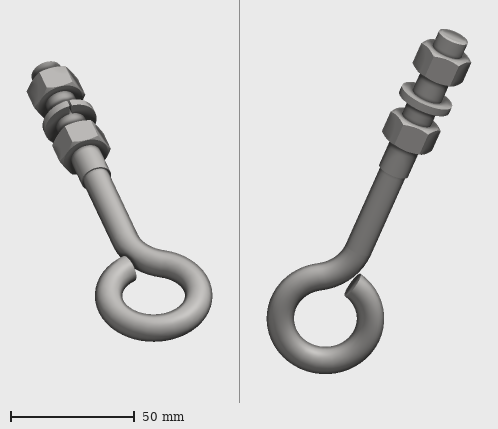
import cadquery as cq
import math

wire_diameter = 11.11
thread_diameter = 12.7
tip_diameter = 10.59
tip_chamfer_length = 0.5
thread_length = 63.5

eye_inner_diameter = 25.4
eye_radius = (eye_inner_diameter + wire_diameter) / 2
bolt_length = 157.16
bend_angle = 60.0
bend_radius = 19.84
eye_end_angle = 194.5

nut_width = 19.05
nut_thickness = 11.11
nut_starts = (7.14, 39.29)
nut_face_diameter = 18.8
nut_chamfer_angle = 30.0

washer_diameter = 22.05
washer_thickness = 3.18
washer_start = 28.2
washer_gap = 1.0

bend = math.radians(bend_angle)
eye_x = bolt_length - wire_diameter / 2 - eye_radius
join_x = eye_x - eye_radius * math.sin(bend)
bend_start = join_x - bend_radius * math.sin(bend)
join_y = bend_radius * (1 - math.cos(bend))
eye_y = join_y - eye_radius * math.cos(bend)


def cylinder_along_x(start, length, diameter):
    return cq.Workplane("YZ", origin=(start, 0, 0)).circle(diameter / 2).extrude(length)


def point_on_circle(center_x, center_y, radius, angle):
    turn = math.radians(angle)
    return (center_x + radius * math.cos(turn), center_y + radius * math.sin(turn))


def make_threaded_end():
    profile = (
        cq.Workplane("XY")
        .lineTo(0, tip_diameter / 2)
        .lineTo(tip_chamfer_length, thread_diameter / 2)
        .lineTo(thread_length, thread_diameter / 2)
        .lineTo(thread_length, 0)
        .close()
    )
    return profile.revolve(360, (0, 0, 0), (1, 0, 0))


def make_bent_wire():
    """Plain shank, bend and open eye, swept along one tangent centreline."""
    bend_middle = point_on_circle(bend_start, bend_radius, bend_radius, -90 + bend_angle / 2)
    eye_start_angle = 90 + bend_angle
    eye_sweep = 360 - (eye_end_angle - eye_start_angle)
    eye_middle = point_on_circle(eye_x, eye_y, eye_radius, eye_start_angle - eye_sweep / 2)
    eye_end = point_on_circle(eye_x, eye_y, eye_radius, eye_end_angle)
    centreline = (
        cq.Workplane("XY")
        .moveTo(thread_length, 0)
        .lineTo(bend_start, 0)
        .threePointArc(bend_middle, (join_x, join_y))
        .threePointArc(eye_middle, eye_end)
    )
    section = cq.Workplane("YZ", origin=(thread_length, 0, 0)).circle(wire_diameter / 2)
    return section.sweep(centreline)


def make_eye_bolt():
    return make_threaded_end().union(make_bent_wire())


def make_nut(start):
    """Hexagon nut with flats facing +Z and -Z and its corners chamfered on both faces."""
    corner_diameter = nut_width / math.cos(math.pi / 6)
    chamfer_depth = (corner_diameter - nut_face_diameter) / 2 * math.tan(math.radians(nut_chamfer_angle))
    hexagon = cq.Workplane("YZ", origin=(start, 0, 0)).polygon(6, corner_diameter).extrude(nut_thickness)
    end = start + nut_thickness
    chamfer_envelope = (
        cq.Workplane("XY")
        .moveTo(start, 0)
        .lineTo(start, nut_face_diameter / 2)
        .lineTo(start + chamfer_depth, corner_diameter / 2)
        .lineTo(end - chamfer_depth, corner_diameter / 2)
        .lineTo(end, nut_face_diameter / 2)
        .lineTo(end, 0)
        .close()
        .revolve(360, (0, 0, 0), (1, 0, 0))
    )
    bore = cylinder_along_x(start, nut_thickness, thread_diameter)
    return hexagon.intersect(chamfer_envelope).cut(bore)


def make_lock_washer():
    """Flat ring around the thread, split by a narrow slot on its +Z side."""
    ring = cylinder_along_x(washer_start, washer_thickness, washer_diameter)
    bore = cylinder_along_x(washer_start, washer_thickness, thread_diameter)
    slot = cq.Workplane("XY", origin=(washer_start, 0, 0)).box(
        washer_thickness, washer_gap, washer_diameter, centered=(False, True, False)
    )
    return ring.cut(bore).cut(slot)


eye_bolt = make_eye_bolt()
nuts = [make_nut(start) for start in nut_starts]
lock_washer = make_lock_washer()

result = cq.Compound.makeCompound([eye_bolt.val(), *[nut.val() for nut in nuts], lock_washer.val()])